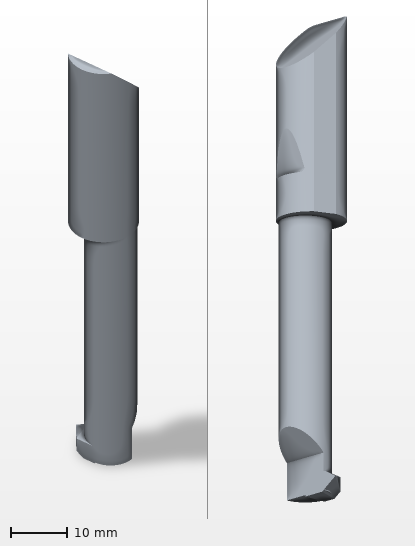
import cadquery as cq
import math

total_length = 88.9
shank_diameter = 12.7
shank_radius = shank_diameter / 2
shoulder_z = 50.85
rim_chamfer_height = 0.3
rim_chamfer_width = 0.45

slope_start_y = -4.4

flat_tilt = math.radians(20)

notch_bottom_z = 58.2
notch_top_z = 66.8
notch_depth = 1.25
notch_corner_radius = 0.7

neck_diameter = 9.5
neck_radius = neck_diameter / 2
neck_center_x = shank_radius - neck_radius
neck_bottom_z = 0.3

rake_end_z = 7.2

tip_x = -6.1
tip_z = 2.2
tip_height = 3.7
tip_back_x = -2.5
upper_flank_slope = math.tan(math.radians(30))
lower_flank_slope = 0.65
back_point_x = -4.7
back_point_z = 2.445


def make_shank():
    """Round shank with a chamfered rim, sloped end, side flat and notch."""
    shank = cq.Workplane("XY").workplane(offset=shoulder_z).circle(shank_radius)
    shank = shank.extrude(total_length - shoulder_z)
    shank = shank.faces(">Z").chamfer(rim_chamfer_height, rim_chamfer_width)

    slope_drop = shank_radius - slope_start_y
    slope = (
        cq.Workplane("YZ")
        .polyline([
            (slope_start_y, total_length),
            (shank_radius, total_length - slope_drop),
            (shank_radius, total_length),
        ])
        .close()
        .extrude(shank_radius, both=True)
    )

    flat_end = (-shank_radius * math.cos(2 * flat_tilt), shank_radius * math.sin(2 * flat_tilt))
    flat = (
        cq.Workplane("XY")
        .workplane(offset=shoulder_z)
        .polyline([(-shank_radius, 0), flat_end, (-shank_radius, flat_end[1])])
        .close()
        .extrude(total_length - shoulder_z)
    )

    notch = (
        cq.Workplane("YZ")
        .polyline([
            (shank_radius, notch_bottom_z),
            (shank_radius - notch_depth, notch_bottom_z),
            (shank_radius, notch_top_z),
        ])
        .close()
        .extrude(shank_radius, both=True)
        .edges("<Y")
        .fillet(notch_corner_radius)
    )
    return shank.cut(slope).cut(flat).cut(notch)


def make_neck():
    """Neck cut to half its section near the tip, with a 45 degree run-out."""
    neck = (
        cq.Workplane("XY")
        .workplane(offset=neck_bottom_z)
        .center(neck_center_x, 0)
        .circle(neck_radius)
        .extrude(shoulder_z - neck_bottom_z)
    )
    relief = (
        cq.Workplane("YZ")
        .polyline([
            (0, 0),
            (neck_radius, 0),
            (neck_radius, rake_end_z + neck_radius),
            (0, rake_end_z),
        ])
        .close()
        .extrude(shank_radius, both=True)
    )
    return neck.cut(relief)


def wedge_section(y, point_x, point_z):
    """Triangle at the given Y, opening from its point toward the neck axis."""
    run = neck_center_x - point_x
    return cq.Wire.makePolygon(
        [
            cq.Vector(point_x, y, point_z),
            cq.Vector(neck_center_x, y, point_z + upper_flank_slope * run),
            cq.Vector(neck_center_x, y, point_z - lower_flank_slope * run),
        ],
        close=True,
    )


def make_tip():
    """Cutting tip: tapered flanks limited by a plan outline with side relief."""
    flanks = cq.Solid.makeLoft(
        [
            wedge_section(0, tip_x, tip_z),
            wedge_section(-neck_radius, back_point_x, back_point_z),
        ],
        True,
    )
    plan = (
        cq.Workplane("XY")
        .polyline([
            (tip_x, 0),
            (tip_back_x, -neck_radius),
            (neck_center_x, -neck_radius),
            (neck_center_x, 0),
        ])
        .close()
        .extrude(tip_height)
    )
    return plan.intersect(cq.Workplane("XY").add(flanks))


result = make_shank().union(make_neck()).union(make_tip())